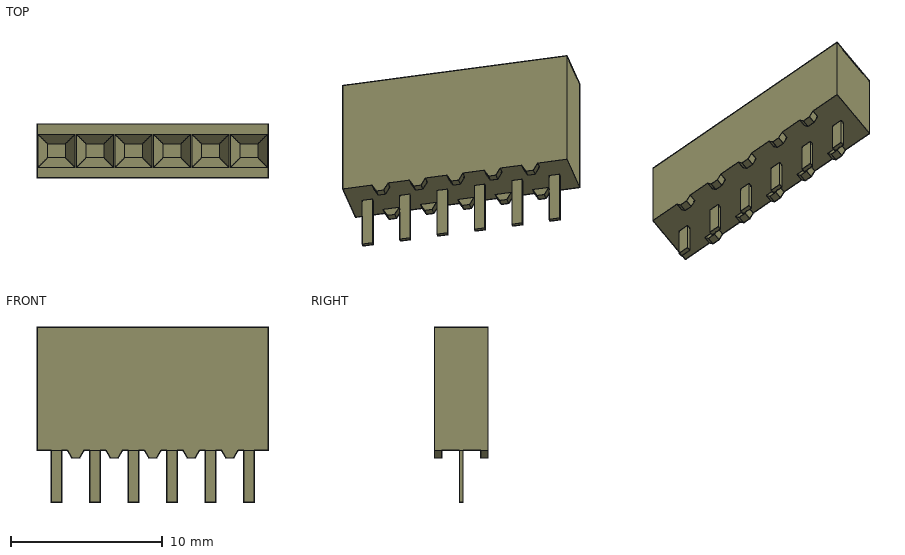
import cadquery as cq

contact_count = 6
pitch = 2.54

body_length = contact_count * pitch
body_width = 3.56
body_height = 8.13

lead_in_length = 2.44
lead_in_width = 2.18
lead_in_inset = pitch / 4
lead_in_depth = lead_in_inset

socket_length = lead_in_length - 2 * lead_in_inset
socket_width = lead_in_width - 2 * lead_in_inset
socket_depth = 0.1

pin_length = 3.43
pin_width = 0.70
pin_thickness = 0.25

standoff_height = 0.51
standoff_root = 1.09
standoff_tip = 0.5
standoff_thickness = 0.51


def centred_positions(count):
    """X positions of `count` features spaced one pitch apart about the middle."""
    return [(index - (count - 1) / 2) * pitch for index in range(count)]


def make_body():
    return cq.Workplane("XY").box(body_length, body_width, body_height, centered=(True, True, False))


def make_socket(x):
    """Cutter for one lead-in funnel with the straight socket under it."""
    funnel = (
        cq.Workplane("XY", origin=(x, 0, body_height))
        .rect(lead_in_length, lead_in_width)
        .workplane(offset=-lead_in_depth)
        .rect(socket_length, socket_width)
        .loft(ruled=True)
    )
    socket = (
        cq.Workplane("XY", origin=(x, 0, body_height - lead_in_depth))
        .rect(socket_length, socket_width)
        .extrude(-socket_depth)
    )
    return funnel.union(socket)


def make_pin(x):
    return cq.Workplane("XY", origin=(x, 0, 0)).rect(pin_width, pin_thickness).extrude(-pin_length)


def make_standoff(x, y_front):
    """Trapezoidal standoff whose front face lies at Y = y_front."""
    return (
        cq.Workplane("XZ", origin=(x, y_front, 0))
        .moveTo(-standoff_root / 2, 0)
        .lineTo(-standoff_tip / 2, -standoff_height)
        .lineTo(standoff_tip / 2, -standoff_height)
        .lineTo(standoff_root / 2, 0)
        .close()
        .extrude(-standoff_thickness)
    )


result = make_body()

for contact_x in centred_positions(contact_count):
    result = result.cut(make_socket(contact_x)).union(make_pin(contact_x))

front_edge = -body_width / 2
back_edge = body_width / 2 - standoff_thickness
for standoff_x in centred_positions(contact_count - 1):
    for edge in (front_edge, back_edge):
        result = result.union(make_standoff(standoff_x, edge))